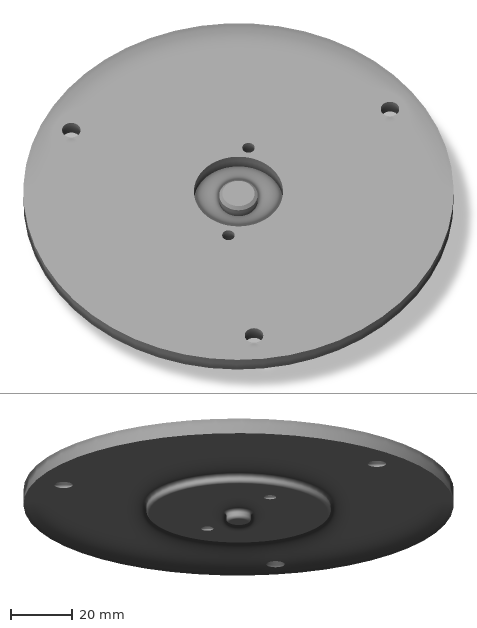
import cadquery as cq

plate_diameter = 140.0
plate_thickness = 5.0

boss_diameter = 60.0
boss_height = 3.0

stub_diameter = 8.0
stub_height = 3.1

fillet_radius = 1.0

recess_diameter = 29.0
post_diameter = 12.5
post_height = 4.0
post_chamfer = 1.0

bolt_hole_diameter = 6.0
bolt_circle_radius = 60.0
bolt_count = 3
first_bolt_angle = 90
small_hole_diameter = 4.0
small_hole_radius = 18.5
small_hole_count = 2
first_small_hole_angle = 135

boss_top = -plate_thickness
boss_bottom = boss_top - boss_height
stub_bottom = boss_bottom - stub_height


def cylinder(diameter, bottom, top):
    """Vertical cylinder on the Z axis."""
    return cq.Workplane("XY").workplane(offset=bottom).circle(diameter / 2).extrude(top - bottom)


def filleted_disc(diameter, bottom, top):
    """Disc with a concave fillet at its top and a rounded bottom edge."""
    radius = diameter / 2
    profile = (
        cq.Workplane("XZ")
        .moveTo(0, top)
        .lineTo(radius + fillet_radius, top)
        .radiusArc((radius, top - fillet_radius), -fillet_radius)
        .lineTo(radius, bottom + fillet_radius)
        .radiusArc((radius - fillet_radius, bottom), fillet_radius)
        .lineTo(0, bottom)
        .close()
    )
    return profile.revolve(360, (0, 0, 0), (0, 1, 0))


def hole_ring(diameter, ring_radius, count, first_angle):
    """Evenly spaced cutters that reach through the plate and boss."""
    return (
        cq.Workplane("XY")
        .polarArray(ring_radius, first_angle, 360, count)
        .circle(diameter / 2)
        .extrude(stub_bottom)
    )


plate = cylinder(plate_diameter, boss_top, 0)
recess = cylinder(recess_diameter, boss_top, 0)
boss = filleted_disc(boss_diameter, boss_bottom, boss_top)
stub = filleted_disc(stub_diameter, stub_bottom, boss_bottom)
post = cylinder(post_diameter, boss_top, boss_top + post_height).faces(">Z").chamfer(post_chamfer)

bolt_holes = hole_ring(bolt_hole_diameter, bolt_circle_radius, bolt_count, first_bolt_angle)
small_holes = hole_ring(
    small_hole_diameter, small_hole_radius, small_hole_count, first_small_hole_angle
)

result = plate.cut(recess).union(boss).union(stub).union(post).cut(bolt_holes).cut(small_holes)